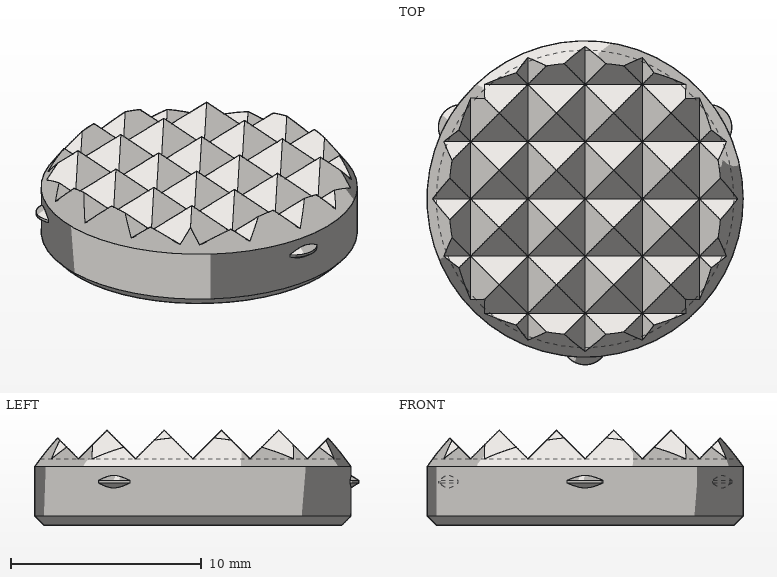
import cadquery as cq

body_radius = 8.3
total_height = 5.0
bottom_chamfer = 0.5
rim_height = 3.1
cone_top_radius = 6.87

outer_groove_offset = 6.0
groove_count = 5
tooth_pitch = 2 * outer_groove_offset / (groove_count - 1)
groove_depth = tooth_pitch / 2

nub_count = 3
first_nub_angle = -90
nub_radius = 1.19
nub_reach = 8.7
nub_height = 2.3
nub_rim_thickness = 0.14
nub_flank_rise = 1.4
nub_flank_run = 2.2


def make_body():
    """Turn the disc with its bottom chamfer and upper cone."""
    profile = [
        (0, 0),
        (body_radius - bottom_chamfer, 0),
        (body_radius, bottom_chamfer),
        (body_radius, rim_height),
        (cone_top_radius, total_height),
        (0, total_height),
    ]
    return cq.Workplane("XZ").polyline(profile).close().revolve(360, (0, 0), (0, 1))


def make_groove(offset):
    """V-groove running along Y, with its valley at X = offset."""
    valley = total_height - groove_depth
    cut_height = 2 * groove_depth
    return (
        cq.Workplane("XZ")
        .moveTo(offset, valley)
        .lineTo(offset + cut_height, valley + cut_height)
        .lineTo(offset - cut_height, valley + cut_height)
        .close()
        .extrude(body_radius, both=True)
    )


def make_nub():
    """Flat-edged double cone centred on +X, with its axis parallel to Z."""
    half_rim = nub_rim_thickness / 2
    half_axis = half_rim + nub_radius * nub_flank_rise / nub_flank_run
    profile = [(0, -half_axis), (nub_radius, -half_rim), (nub_radius, half_rim), (0, half_axis)]
    return (
        cq.Workplane("XZ")
        .polyline(profile)
        .close()
        .revolve(360, (0, 0), (0, 1))
        .translate((nub_reach - nub_radius, 0, nub_height))
    )


result = make_body()

for index in range(groove_count):
    groove = make_groove(index * tooth_pitch - outer_groove_offset)
    result = result.cut(groove)
    result = result.cut(groove.rotate((0, 0, 0), (0, 0, 1), 90))

for index in range(nub_count):
    angle = first_nub_angle + index * 360 / nub_count
    result = result.union(make_nub().rotate((0, 0, 0), (0, 0, 1), angle))